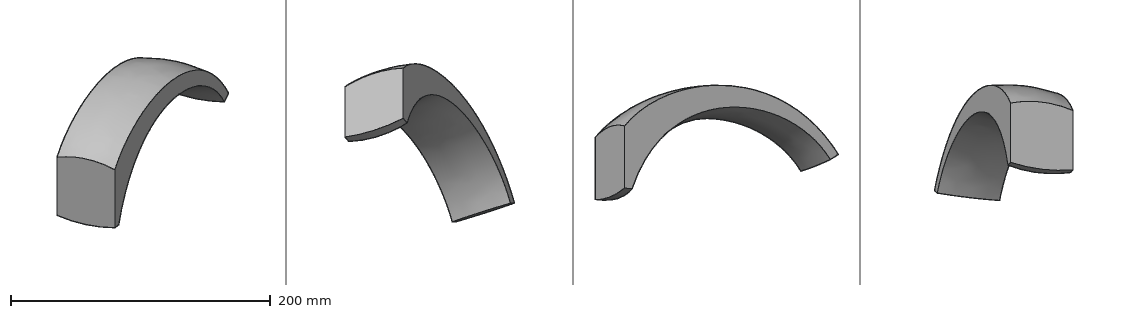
import cadquery as cq
import math

width = 50.8
half_width = width / 2
length = 186.45
height = 93.73

crown_radius = 127.0

outer_curve = [(-7.9, 44.6), (23.9, 97.6), (143.6, 126.0), (195.1, 33.2)]
inner_curve = [(4.4, -14.3), (30.3, 98.5), (157.2, 89.3), (182.0, 26.6)]

bottom_line_end = 40.0

tail_tip_z = 46.8
tail_face_angle = 34.0

clearance = 5.0


def curve_path(control_points):
    """Open Bezier wire in the YZ plane."""
    return cq.Workplane("YZ").bezier(control_points)


def envelope():
    """Block bounded by the front face, the bottom, the sides and the tilted tail face."""
    slope = math.tan(math.radians(tail_face_angle))
    tail_foot_y = length - tail_tip_z / slope
    top_z = height + clearance
    tail_top_y = length + (top_z - tail_tip_z) / slope
    outline = [(0, 0), (tail_foot_y, 0), (tail_top_y, top_z), (0, top_z)]
    return cq.Workplane("YZ").polyline(outline).close().extrude(half_width, both=True)


def under_curve(control_points):
    """Solid below a curve, wider than the part."""
    floor_z = inner_curve[0][1] - clearance
    start_y = control_points[0][0]
    end_y = control_points[-1][0]
    outline = curve_path(control_points).lineTo(end_y, floor_z).lineTo(start_y, floor_z).close()
    return outline.extrude(half_width + clearance, both=True)


def crown_trim(path, start, toward, material_on_right):
    """Cutter swept along a path that starts from one point toward another.

    It removes what lies outside the crowned section, whose crest follows the path.
    """
    run_y = toward[0] - start[0]
    run_z = toward[1] - start[1]
    side = 1 if material_on_right else -1
    plane = cq.Plane(origin=(0, *start), xDir=(1, 0, 0), normal=(0, -side * run_y, -side * run_z))
    edge = half_width + clearance
    edge_depth = crown_radius - math.sqrt(crown_radius**2 - edge**2)
    section = (
        cq.Workplane(plane)
        .moveTo(-edge, -edge_depth)
        .threePointArc((0, 0), (edge, -edge_depth))
        .lineTo(edge, clearance)
        .lineTo(-edge, clearance)
        .close()
    )
    return section.sweep(path)


def curve_trim(control_points, material_on_right):
    """Crown cutter along one of the mid-plane curves."""
    path = curve_path(control_points)
    return crown_trim(path, control_points[0], control_points[1], material_on_right)


def bottom_trim():
    """Crown cutter along the straight bottom face."""
    start = (-clearance, 0)
    end = (bottom_line_end, 0)
    path = cq.Workplane("YZ").moveTo(*start).lineTo(*end)
    return crown_trim(path, start, end, material_on_right=False)


blank = envelope().intersect(under_curve(outer_curve)).cut(under_curve(inner_curve))
result = (
    blank.cut(curve_trim(outer_curve, material_on_right=True))
    .cut(curve_trim(inner_curve, material_on_right=False))
    .cut(bottom_trim())
)